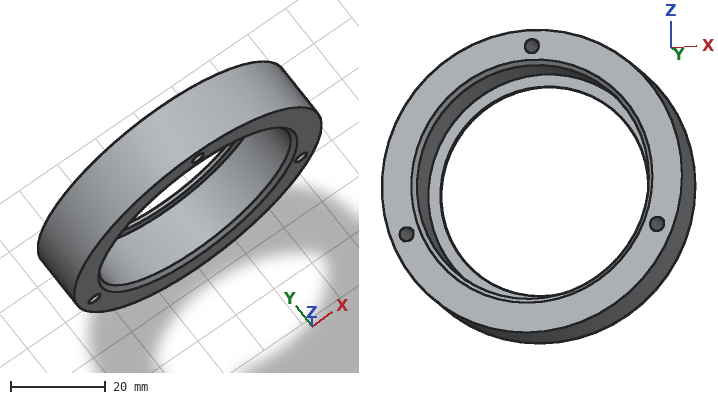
import cadquery as cq
import math

outer_diameter = 65.0
thickness = 13.0
bore_diameter = 45.0

recess_diameter = 50.2
lip_thickness = 1.0
chamfer_size = 1.0

screw_hole_diameter = 3.0
screw_circle_radius = 29.0
top_angle = 90.0
lower_drop_angle = 20.8
screw_angles = (top_angle, 180.0 + lower_drop_angle, -lower_drop_angle)

front_y = -thickness / 2
back_y = thickness / 2


def ring_body():
    """Revolve the stepped cross-section about the Y axis."""
    outer_radius = outer_diameter / 2
    bore_radius = bore_diameter / 2
    recess_radius = recess_diameter / 2
    shoulder_y = back_y - lip_thickness
    return (
        cq.Workplane("XY")
        .moveTo(outer_radius, front_y)
        .lineTo(outer_radius, back_y)
        .lineTo(bore_radius, back_y)
        .lineTo(bore_radius, shoulder_y)
        .lineTo(recess_radius, shoulder_y)
        .lineTo(recess_radius, front_y + chamfer_size)
        .lineTo(recess_radius + chamfer_size, front_y)
        .close()
        .revolve(360, (0, 0, 0), (0, 1, 0))
    )


def screw_holes():
    """Cylinders along Y through the full thickness, one at each screw position."""
    centres = []
    for angle in screw_angles:
        x = screw_circle_radius * math.cos(math.radians(angle))
        z = screw_circle_radius * math.sin(math.radians(angle))
        centres.append((x, z))
    return (
        cq.Workplane("XZ", origin=(0, back_y, 0))
        .pushPoints(centres)
        .circle(screw_hole_diameter / 2)
        .extrude(thickness)
    )


result = ring_body().cut(screw_holes())